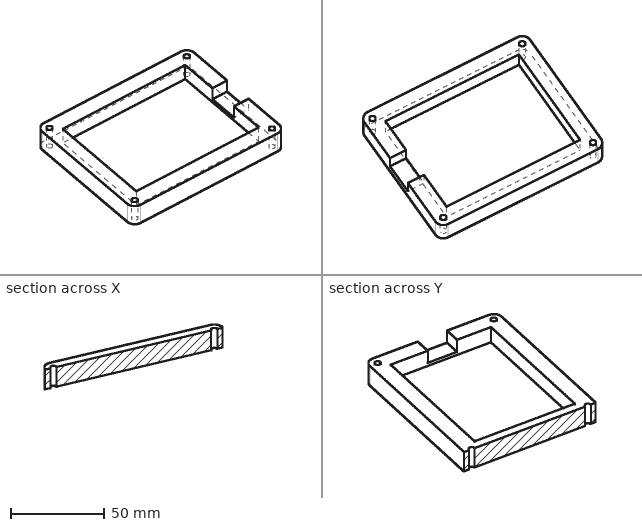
import cadquery as cq

width = 83.9
length = 103.4
height = 13.0
corner_radius = 5.0

wall = 10.0
floor_thickness = 3.0

hole_diameter = 3.4

notch_width = 18.6
notch_offset = 1.0
notch_depth = 8.0


def make_block():
    block = cq.Workplane("XY").box(width, length, height, centered=(True, True, False))
    return block.edges("|Z").fillet(corner_radius)


def make_pocket():
    return (
        cq.Workplane("XY", origin=(0, 0, floor_thickness))
        .rect(width - 2 * wall, length - 2 * wall)
        .extrude(height - floor_thickness)
    )


def make_notch():
    wall_center = (length - wall) / 2
    return (
        cq.Workplane("XY", origin=(notch_offset, wall_center, height - notch_depth))
        .rect(notch_width, wall)
        .extrude(notch_depth)
    )


def make_screw_holes():
    return (
        cq.Workplane("XY")
        .rect(width - 2 * corner_radius, length - 2 * corner_radius, forConstruction=True)
        .vertices()
        .circle(hole_diameter / 2)
        .extrude(height)
    )


result = make_block().cut(make_pocket()).cut(make_notch()).cut(make_screw_holes())